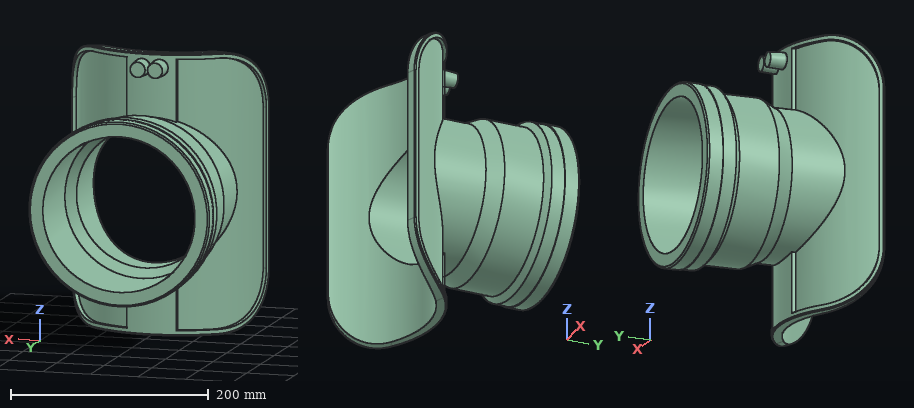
import cadquery as cq
import math

saddle_height = 290.0
saddle_outer_radius = 110.8
saddle_wall = 10.7
saddle_inner_radius = saddle_outer_radius - saddle_wall
half_angle = math.radians(70.0)
outer_edge_chamfer = 1.25
corner_radius = 62.0

pocket_depth = 4.0
pocket_floor_radius = saddle_outer_radius - pocket_depth
pocket_border = 5.5
crown_half_width = 26.0

overall_depth = 192.5
pipe_end_y = overall_depth + saddle_inner_radius * math.cos(half_angle)
spigot_radius = 159.0 / 2
socket_radius = 175.0 / 2
collar_radius = 188.2 / 2
lip_radius = 190.0 / 2
lip_chamfer = 1.7
lip_length = 16.8
collar_length = 31.3
collar_taper_end = 37.5
socket_length = 81.0
socket_taper_end = 98.0
bore_radius = 144.0 / 2
socket_bore_radius = 160.0 / 2
bore_taper_start = 80.0
bore_taper_end = 95.0

pin_base_radius = 8.7
pin_tip_radius = 7.8
pin_height = 16.2
pin_spacing = 18.3
pin_drop = 14.5


def sector_blank(radius, border):
    """Slab spanning the saddle angle out to a radius, inset by a border, with rounded corners."""
    edge_direction = cq.Vector(math.sin(half_angle), math.cos(half_angle), 0)
    edge_normal = cq.Vector(math.cos(half_angle), -math.sin(half_angle), 0)
    reach = 2 * radius
    plane = cq.Plane(origin=(0, 0, 0), xDir=edge_normal, normal=edge_direction)
    side = (
        cq.Workplane(plane)
        .center(-border - reach / 2, 0)
        .rect(reach, saddle_height - 2 * border)
        .extrude(2 * reach, both=True)
        .edges(cq.selectors.ParallelDirSelector(edge_direction))
        .fillet(corner_radius - border)
    )
    half_space = cq.Workplane("XY").box(reach, reach, saddle_height, centered=(False, False, True))
    half = side.intersect(half_space)
    return half.union(half.mirror("YZ"))


def tube(outer_radius, inner_radius):
    return (
        cq.Workplane("XY")
        .circle(outer_radius)
        .circle(inner_radius)
        .extrude(saddle_height / 2, both=True)
    )


def saddle():
    shell = tube(saddle_outer_radius, saddle_inner_radius)
    shell = shell.intersect(sector_blank(saddle_outer_radius, 0))
    crown_point = (0, saddle_outer_radius, 0)
    outer_face = shell.faces(cq.selectors.NearestToPointSelector(crown_point))
    shell = outer_face.edges().chamfer(outer_edge_chamfer)
    crown = cq.Workplane("XY").box(2 * crown_half_width, 2 * saddle_outer_radius, saddle_height)
    pockets = tube(saddle_outer_radius + saddle_wall, pocket_floor_radius)
    pockets = pockets.intersect(sector_blank(saddle_outer_radius, pocket_border)).cut(crown)
    return shell.cut(pockets)


def revolve_about_y(points):
    return cq.Workplane("XY").polyline(points).close().revolve(360, (0, 0, 0), (0, 1, 0))


def branch_body():
    return revolve_about_y([
        (0, 0),
        (spigot_radius, 0),
        (spigot_radius, pipe_end_y - socket_taper_end),
        (socket_radius, pipe_end_y - socket_length),
        (socket_radius, pipe_end_y - collar_taper_end),
        (collar_radius, pipe_end_y - collar_length),
        (collar_radius, pipe_end_y - lip_length),
        (lip_radius, pipe_end_y - lip_length),
        (lip_radius, pipe_end_y - lip_chamfer),
        (lip_radius - lip_chamfer, pipe_end_y),
        (0, pipe_end_y),
    ])


def branch_bore():
    return revolve_about_y([
        (0, 0),
        (bore_radius, 0),
        (bore_radius, pipe_end_y - bore_taper_end),
        (socket_bore_radius, pipe_end_y - bore_taper_start),
        (socket_bore_radius, pipe_end_y),
        (0, pipe_end_y),
    ])


def pin(x):
    root_y = saddle_outer_radius - saddle_wall / 2
    tip_y = saddle_outer_radius + pin_height
    z = saddle_height / 2 - pin_drop
    profile = [
        (0, root_y),
        (pin_base_radius, root_y),
        (pin_base_radius, saddle_outer_radius),
        (pin_tip_radius, tip_y),
        (0, tip_y),
    ]
    return revolve_about_y(profile).translate((x, 0, z))


saddle_hollow = cq.Workplane("XY").circle(saddle_inner_radius + saddle_wall / 2)
saddle_hollow = saddle_hollow.extrude(saddle_height / 2, both=True)

result = saddle().union(branch_body().cut(saddle_hollow)).cut(branch_bore())
for side in (-1, 1):
    result = result.union(pin(side * pin_spacing / 2))